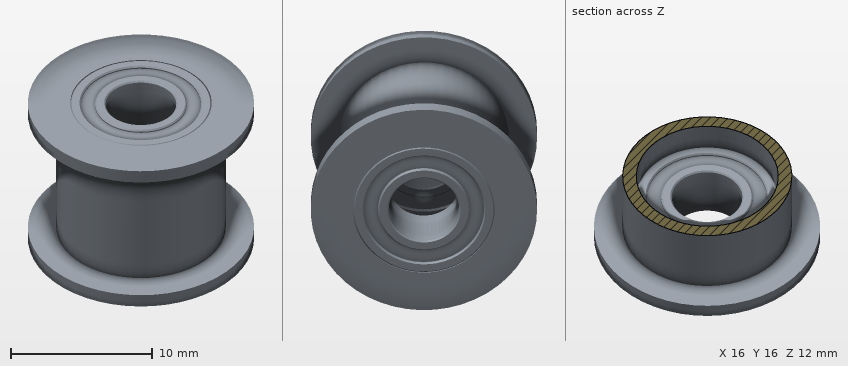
import cadquery as cq

flange_diameter = 16.0
hub_diameter = 12.0
pulley_length = 12.0
belt_width = 10.0
flange_thickness = (pulley_length - belt_width) / 2

bearing_diameter = 10.0
bearing_bore = 5.0
bearing_width = 4.0
outer_race_inner_diameter = 8.5
inner_race_outer_diameter = 6.5
shield_recess = 0.2
race_chamfer = 0.1


def make_pulley():
    """Flanged hub with a straight bore that holds the bearings."""
    flange = cq.Workplane("XY").circle(flange_diameter / 2).extrude(flange_thickness)
    hub = cq.Workplane("XY").circle(hub_diameter / 2).extrude(pulley_length)
    top_flange = flange.translate((0, 0, pulley_length - flange_thickness))
    bore = cq.Workplane("XY").circle(bearing_diameter / 2).extrude(pulley_length)
    return hub.union(flange).union(top_flange).cut(bore)


def make_bearing(base_z):
    """Bearing with both shields set below the faces of its chamfered races."""
    ring = (
        cq.Workplane("XY")
        .circle(bearing_diameter / 2)
        .circle(bearing_bore / 2)
        .extrude(bearing_width)
    )
    recess = (
        cq.Workplane("XY")
        .circle(outer_race_inner_diameter / 2)
        .circle(inner_race_outer_diameter / 2)
        .extrude(shield_recess)
    )
    top_recess = recess.translate((0, 0, bearing_width - shield_recess))
    bearing = ring.cut(recess).cut(top_recess)
    bearing = bearing.faces(">Z or <Z").edges().chamfer(race_chamfer)
    return bearing.translate((0, 0, base_z))


pulley = make_pulley()
bearings = [make_bearing(base_z) for base_z in (0, pulley_length - bearing_width)]

result = cq.Compound.makeCompound([pulley.val(), *[bearing.val() for bearing in bearings]])